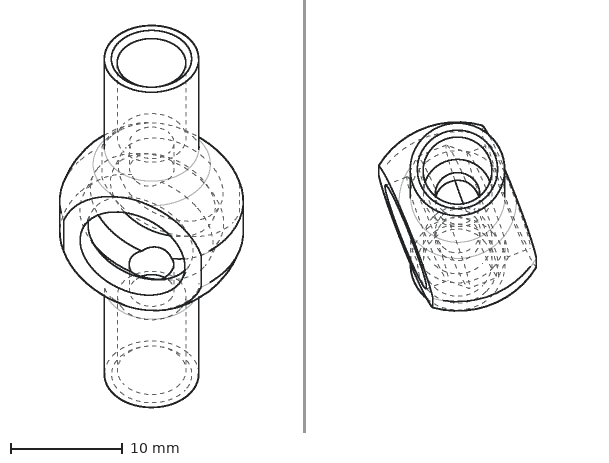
import cadquery as cq
import math

length = 40.0
body_thickness = 10.0

ball_radius = 8.5
band_half_height = 2.0
band_radius = math.sqrt(ball_radius**2 - band_half_height**2)

tube_radius = 4.25
blend_radius = 2.7

socket_radius = 3.1
socket_depth = 10.0
socket_chamfer = 0.5
passage_radius = 2.0
shoulder_angle = math.radians(30)

cross_bore_radius = 5.0
groove_radius = 6.35
groove_floor_half_width = 1.4
groove_mouth_half_width = 2.9

tube_end = length / 2

blend_center_r = tube_radius + blend_radius
blend_center_z = math.sqrt((ball_radius + blend_radius)**2 - blend_center_r**2)
ball_share = ball_radius / (ball_radius + blend_radius)
ball_tangent = (blend_center_r * ball_share, blend_center_z * ball_share)


def point_on_ball(angle):
    return (ball_radius * math.cos(angle), ball_radius * math.sin(angle))


def make_outer_half():
    """Upper half of the turned outside, from mid height to the tube end."""
    band_angle = math.asin(band_half_height / ball_radius)
    tangent_angle = math.atan2(ball_tangent[1], ball_tangent[0])
    ball_middle = point_on_ball((band_angle + tangent_angle) / 2)
    blend_angle = math.pi + tangent_angle / 2
    blend_middle = (
        blend_center_r + blend_radius * math.cos(blend_angle),
        blend_center_z + blend_radius * math.sin(blend_angle),
    )
    return (
        cq.Workplane("XZ")
        .moveTo(0, 0)
        .lineTo(band_radius, 0)
        .lineTo(band_radius, band_half_height)
        .threePointArc(ball_middle, ball_tangent)
        .threePointArc(blend_middle, (tube_radius, blend_center_z))
        .lineTo(tube_radius, tube_end)
        .lineTo(0, tube_end)
        .close()
        .revolve(360, (0, 0), (0, 1))
    )


def make_tube_bore():
    """Passage, conical shoulder, socket and mouth chamfer of the upper tube."""
    socket_bottom = tube_end - socket_depth
    cone_bottom = socket_bottom - (socket_radius - passage_radius) * math.tan(shoulder_angle)
    return (
        cq.Workplane("XZ")
        .moveTo(0, 0)
        .lineTo(passage_radius, 0)
        .lineTo(passage_radius, cone_bottom)
        .lineTo(socket_radius, socket_bottom)
        .lineTo(socket_radius, tube_end - socket_chamfer)
        .lineTo(socket_radius + socket_chamfer, tube_end)
        .lineTo(0, tube_end)
        .close()
        .revolve(360, (0, 0), (0, 1))
    )


def make_cross_bore():
    """Bore along Y, widened by the bevelled groove."""
    half_thickness = body_thickness / 2
    return (
        cq.Workplane("XY")
        .moveTo(0, -half_thickness)
        .lineTo(cross_bore_radius, -half_thickness)
        .lineTo(cross_bore_radius, -groove_mouth_half_width)
        .lineTo(groove_radius, -groove_floor_half_width)
        .lineTo(groove_radius, groove_floor_half_width)
        .lineTo(cross_bore_radius, groove_mouth_half_width)
        .lineTo(cross_bore_radius, half_thickness)
        .lineTo(0, half_thickness)
        .close()
        .revolve(360, (0, 0), (0, 1))
    )


def with_mirror(half):
    return half.union(half.mirror("XY"))


flat_limits = cq.Workplane("XY").box(2 * band_radius, body_thickness, length)
body = with_mirror(make_outer_half()).intersect(flat_limits)
result = body.cut(with_mirror(make_tube_bore())).cut(make_cross_bore())